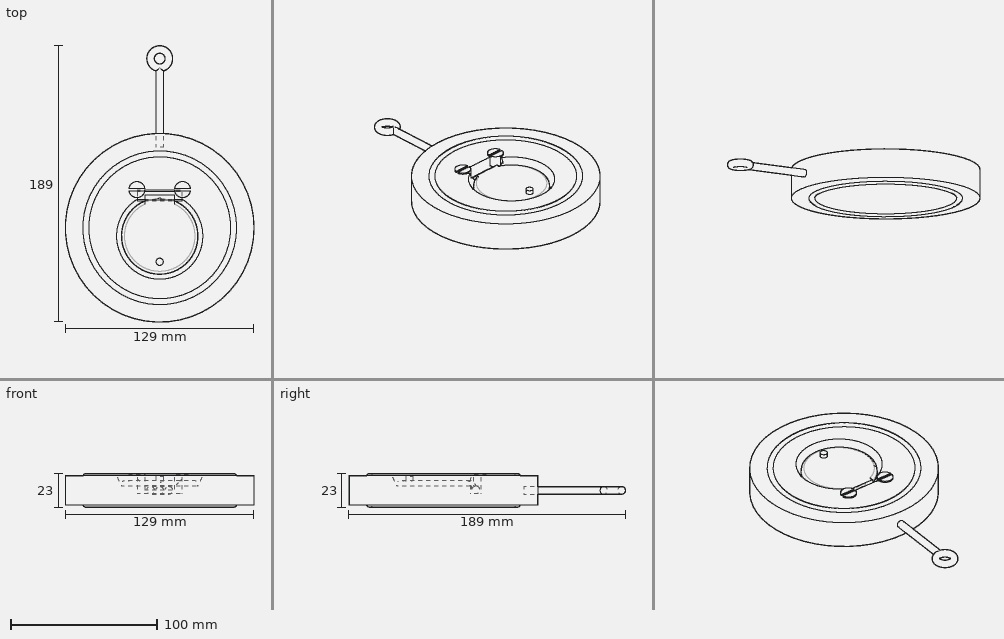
import cadquery as cq

housing_diameter = 129.0
housing_thickness = 20.0
overall_thickness = 23.0
housing_top = housing_thickness / 2

bead_outer_diameter = 105.0
bead_inner_diameter = 97.0
bead_height = (overall_thickness - housing_thickness) / 2
bead_middle_radius = (bead_outer_diameter + bead_inner_diameter) / 4

pocket_center_y = -5.7
pocket_top_diameter = 59.0
pocket_floor_diameter = 52.3
pocket_depth = 7.0
pocket_floor = housing_top - pocket_depth
hinge_wall_y = 25.7
hinge_recess_start_y = 18.3
hinge_recess_width = 30.2

screw_diameter = 11.0
screw_spacing = 31.2
screw_y = 26.0
screw_projection = 1.0
slot_width = 1.7
slot_depth = 1.0

flap_diameter = 52.0
flap_thickness = 3.5
flap_edge_radius = 1.9
flap_top = pocket_floor + flap_thickness
tab_width = 20.0
tab_slope_start_y = 18.9
tab_end_y = 22.3
tab_end_drop = 3.2
tab_front_y = 19.0
pin_diameter = 5.0
pin_height = 2.8
pin_y = -23.2

shaft_diameter = 5.3
shaft_y = 22.1
shaft_z = pocket_floor - shaft_diameter / 2
hinge_recess_floor = pocket_floor - shaft_diameter

rod_diameter = 5.3
rod_radius = rod_diameter / 2
eye_outer_diameter = 17.8
eye_middle_radius = eye_outer_diameter / 2 - rod_radius
overall_length = 189.0
eye_bolt_end_y = overall_length - housing_diameter / 2
eye_center_y = eye_bolt_end_y - eye_outer_diameter / 2
rod_socket_depth = 9.5
rod_start_y = housing_diameter / 2 - rod_socket_depth


def cylinder(x, y, bottom, diameter, height):
    return cq.Workplane("XY", origin=(x, y, bottom)).circle(diameter / 2).extrude(height)


def make_rod():
    """Straight shank from the socket floor to the middle of the eye's round section."""
    length = eye_center_y - eye_middle_radius - rod_start_y
    shank = cq.Solid.makeCylinder(
        rod_radius, length, cq.Vector(0, rod_start_y, 0), cq.Vector(0, 1, 0)
    )
    return cq.Workplane(shank)


def make_bead():
    """Bead with an arc section on the upper face of the housing."""
    return (
        cq.Workplane("XZ")
        .moveTo(bead_inner_diameter / 2, 0)
        .lineTo(bead_inner_diameter / 2, housing_top)
        .threePointArc(
            (bead_middle_radius, housing_top + bead_height),
            (bead_outer_diameter / 2, housing_top),
        )
        .lineTo(bead_outer_diameter / 2, 0)
        .close()
        .revolve(360, (0, 0, 0), (0, 1, 0))
    )


def make_pocket():
    """Tapered round pocket joined to the straight recess for the hinge."""
    round_pocket = (
        cq.Workplane("XY", origin=(0, pocket_center_y, pocket_floor))
        .circle(pocket_floor_diameter / 2)
        .workplane(offset=pocket_depth)
        .circle(pocket_top_diameter / 2)
        .loft()
    )
    hinge_recess = cq.Workplane("XY", origin=(0, hinge_recess_start_y, hinge_recess_floor)).box(
        hinge_recess_width,
        hinge_wall_y - hinge_recess_start_y,
        housing_top - hinge_recess_floor,
        centered=(True, False, False),
    )
    return round_pocket.union(hinge_recess)


def make_screw(x):
    """Screw with its slot along X, reaching down to the hinge shaft."""
    height = pocket_depth + screw_projection
    screw = cylinder(x, screw_y, pocket_floor, screw_diameter, height)
    slot = cq.Workplane("XY", origin=(x, screw_y, pocket_floor + height)).box(
        screw_diameter, slot_width, 2 * slot_depth
    )
    return screw, slot


def make_housing():
    housing = cylinder(0, 0, -housing_top, housing_diameter, housing_thickness)
    bead = make_bead()
    housing = housing.union(bead).union(bead.mirror("XY"))
    housing = housing.cut(make_pocket())
    for x in (-screw_spacing / 2, screw_spacing / 2):
        screw, slot = make_screw(x)
        housing = housing.union(screw).cut(slot)
    return housing.cut(make_rod())


def make_flap():
    disc = cylinder(0, pocket_center_y, pocket_floor, flap_diameter, flap_thickness)
    disc = disc.faces(">Z").edges().fillet(flap_edge_radius)
    tab = (
        cq.Workplane("YZ")
        .moveTo(pocket_center_y, pocket_floor)
        .lineTo(tab_front_y, pocket_floor)
        .lineTo(tab_front_y, shaft_z)
        .lineTo(tab_end_y, shaft_z)
        .lineTo(tab_end_y, flap_top - tab_end_drop)
        .lineTo(tab_slope_start_y, flap_top)
        .lineTo(pocket_center_y, flap_top)
        .close()
        .extrude(tab_width / 2, both=True)
    )
    pin = cylinder(0, pin_y, flap_top, pin_diameter, pin_height)
    shaft = (
        cq.Workplane("YZ", origin=(0, shaft_y, shaft_z))
        .circle(shaft_diameter / 2)
        .extrude(hinge_recess_width / 2, both=True)
    )
    return disc.union(tab).union(shaft).union(pin)


def make_eye_bolt():
    eye = cq.Solid.makeTorus(
        eye_middle_radius, rod_radius, cq.Vector(0, eye_center_y, 0), cq.Vector(0, 0, 1)
    )
    return make_rod().union(cq.Workplane(eye))


housing = make_housing()
flap = make_flap()
eye_bolt = make_eye_bolt()

result = cq.Compound.makeCompound([
    *housing.solids().vals(),
    *flap.solids().vals(),
    *eye_bolt.solids().vals(),
])